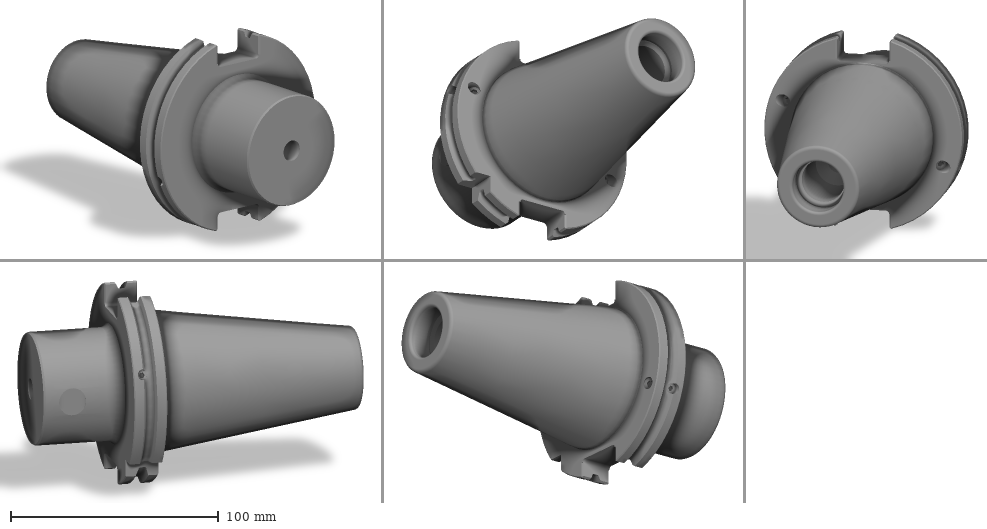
import cadquery as cq
import math

TAPER_LENGTH = 101.7
GAUGE_RADIUS = 69.85 / 2
TAPER_SLOPE = 7 / 48
SMALL_END_RADIUS = GAUGE_RADIUS - TAPER_SLOPE * TAPER_LENGTH
SMALL_END_ROUND = 1.8
NECK_ROUND = 0.4

FLANGE_RADIUS = 97.5 / 2
FLANGE_BACK = 2.8
FLANGE_FRONT = 19.1
FLANGE_WIDTH = FLANGE_FRONT - FLANGE_BACK
FLANGE_CHAMFER = 0.5
GROOVE_RADIUS = 45.5
GROOVE_BACK = 7.8
GROOVE_FRONT = 14.1
GROOVE_FLOOR_BACK = 9.0
GROOVE_FLOOR_FRONT = 12.3
GROOVE_FILLET = 0.8

NOSE_RADIUS = 55 / 2
NOSE_END = 59.0
NOSE_ROUND_RADIUS = 5.0
NOSE_ROUND_LENGTH = 3.9
NOSE_CHAMFER_LENGTH = 1.0
NOSE_CHAMFER_DEPTH = 0.5

PILOT_RADIUS = 12.6
PILOT_MOUTH_ROUND = 1.4
PILOT_DEPTH = 10.0
RELIEF_WIDTH = 1.8
RELIEF_DEPTH = 0.4
COUNTERSINK_HALF_ANGLE = 60.0
THREAD_BORE_RADIUS = 10.55
THREAD_BORE_DEPTH = 45.0
COOLANT_BORE_RADIUS = 5.1
DRILL_HALF_ANGLE = 59.0

KEYWAY_WIDTH = 25.7
KEYWAY_TOP_FLOOR = 35.3
KEYWAY_BOTTOM_FLOOR = 37.7
KEYWAY_FILLET = 1.6
KEYWAY_CHAMFER = 1.0
KEYWAY_FACE_CHAMFER = 0.5
KEYWAY_RIM_DROP = 0.7
NOTCH_OFFSET = 30.0

PASSAGE_ANGLE = 20.0
PASSAGE_TURNS = (0, 180)
FACE_HOLE_PITCH_RADIUS = 42.0
FACE_HOLE_DIAMETER = 6.0
FACE_HOLE_TILT = 35.0
FACE_HOLE_DEPTH = 9.0
FACE_PLUG_RECESS = 3.0
FACE_SOCKET_WIDTH = 3.0
RIM_HOLE_X = 14.2
RIM_HOLE_DIAMETER = 5.2
RIM_HOLE_DEPTH = 7.0
RIM_PLUG_RECESS = 3.3
RIM_SOCKET_WIDTH = 2.5
SOCKET_DEPTH = 1.5

CLAMP_X = 44.7
CLAMP_DIAMETER = 13.4
CLAMP_HOLE_FLOOR = 12.5
CLAMP_HOLE_TOP = NOSE_RADIUS + 1.0
CLAMP_SCREW_TOP = NOSE_RADIUS - 0.4


def revolve_about_x(profile):
    return profile.close().revolve(360, (0, 0, 0), (1, 0, 0))


def make_blank():
    """Solid of revolution: taper, flange and nose, before any cuts."""
    root_rise = NOSE_ROUND_RADIUS - math.sqrt(NOSE_ROUND_RADIUS**2 - NOSE_ROUND_LENGTH**2)
    nose_root_radius = NOSE_RADIUS + root_rise
    round_start = FLANGE_FRONT + NOSE_ROUND_LENGTH
    profile = (
        cq.Workplane("XY")
        .moveTo(-TAPER_LENGTH, 0)
        .lineTo(-TAPER_LENGTH, SMALL_END_RADIUS)
        .lineTo(0, GAUGE_RADIUS)
        .lineTo(FLANGE_BACK - NECK_ROUND, GAUGE_RADIUS)
        .radiusArc((FLANGE_BACK, GAUGE_RADIUS + NECK_ROUND), -NECK_ROUND)
        .lineTo(FLANGE_BACK, FLANGE_RADIUS - FLANGE_CHAMFER)
        .lineTo(FLANGE_BACK + FLANGE_CHAMFER, FLANGE_RADIUS)
        .lineTo(FLANGE_FRONT - FLANGE_CHAMFER, FLANGE_RADIUS)
        .lineTo(FLANGE_FRONT, FLANGE_RADIUS - FLANGE_CHAMFER)
        .lineTo(FLANGE_FRONT, nose_root_radius)
        .radiusArc((round_start, NOSE_RADIUS), -NOSE_ROUND_RADIUS)
        .lineTo(NOSE_END - NOSE_CHAMFER_LENGTH, NOSE_RADIUS)
        .lineTo(NOSE_END, NOSE_RADIUS - NOSE_CHAMFER_DEPTH)
        .lineTo(NOSE_END, 0)
    )
    return revolve_about_x(profile).faces("<X").edges().fillet(SMALL_END_ROUND)


def make_gripper_groove():
    profile = (
        cq.Workplane("XY")
        .moveTo(GROOVE_BACK, FLANGE_RADIUS)
        .lineTo(GROOVE_FLOOR_BACK, GROOVE_RADIUS)
        .lineTo(GROOVE_FLOOR_FRONT, GROOVE_RADIUS)
        .lineTo(GROOVE_FRONT, FLANGE_RADIUS)
    )
    groove = revolve_about_x(profile)
    floor_edges = groove.edges(cq.selectors.RadiusNthSelector(0))
    return floor_edges.fillet(GROOVE_FILLET)


def make_bore():
    mouth = -TAPER_LENGTH
    relief_start = mouth + PILOT_DEPTH
    relief_end = relief_start + RELIEF_WIDTH
    cone_start = mouth + THREAD_BORE_DEPTH
    countersink = (PILOT_RADIUS - THREAD_BORE_RADIUS) / math.tan(math.radians(COUNTERSINK_HALF_ANGLE))
    cone_length = (THREAD_BORE_RADIUS - COOLANT_BORE_RADIUS) / math.tan(math.radians(DRILL_HALF_ANGLE))
    profile = (
        cq.Workplane("XY")
        .moveTo(mouth, 0)
        .lineTo(mouth, PILOT_RADIUS + PILOT_MOUTH_ROUND)
        .radiusArc((mouth + PILOT_MOUTH_ROUND, PILOT_RADIUS), -PILOT_MOUTH_ROUND)
        .lineTo(relief_start, PILOT_RADIUS)
        .lineTo(relief_start, PILOT_RADIUS + RELIEF_DEPTH)
        .lineTo(relief_end, PILOT_RADIUS + RELIEF_DEPTH)
        .lineTo(relief_end, PILOT_RADIUS)
        .lineTo(relief_end + countersink, THREAD_BORE_RADIUS)
        .lineTo(cone_start, THREAD_BORE_RADIUS)
        .lineTo(cone_start + cone_length, COOLANT_BORE_RADIUS)
        .lineTo(NOSE_END, COOLANT_BORE_RADIUS)
        .lineTo(NOSE_END, 0)
    )
    return revolve_about_x(profile)


def make_keyway(floor, side):
    """Slot across the flange; side is +1 for the top slot and -1 for the bottom one."""
    half = KEYWAY_WIDTH / 2
    flared_half = half + KEYWAY_CHAMFER
    height = FLANGE_RADIUS - floor
    slot = (
        cq.Workplane("XY", origin=(FLANGE_BACK, 0, floor))
        .box(FLANGE_WIDTH, KEYWAY_WIDTH, height, centered=(False, True, False))
        .edges("|X and <Z")
        .fillet(KEYWAY_FILLET)
    )
    face_flare = (
        cq.Workplane("XY", origin=(0, 0, floor + KEYWAY_FILLET))
        .moveTo(FLANGE_BACK, 0)
        .lineTo(FLANGE_BACK, flared_half)
        .lineTo(FLANGE_BACK + KEYWAY_FACE_CHAMFER, half)
        .lineTo(FLANGE_FRONT - KEYWAY_FACE_CHAMFER, half)
        .lineTo(FLANGE_FRONT, flared_half)
        .lineTo(FLANGE_FRONT, 0)
        .mirrorX()
        .extrude(height)
    )
    rim_height = math.sqrt(FLANGE_RADIUS**2 - flared_half**2)
    rim_flare = (
        cq.Workplane("YZ", origin=(FLANGE_BACK, 0, 0))
        .moveTo(0, rim_height - KEYWAY_RIM_DROP)
        .lineTo(half, rim_height - KEYWAY_RIM_DROP)
        .lineTo(flared_half, rim_height)
        .lineTo(flared_half, FLANGE_RADIUS)
        .lineTo(0, FLANGE_RADIUS)
        .mirrorY()
        .extrude(FLANGE_WIDTH)
    )
    keyway = slot.union(face_flare).union(rim_flare)
    return keyway if side > 0 else keyway.rotate((0, 0, 0), (1, 0, 0), 180)


def make_notch():
    return (
        cq.Workplane("XY")
        .box(FLANGE_WIDTH, FLANGE_RADIUS, FLANGE_RADIUS, centered=False)
        .translate((FLANGE_BACK, NOTCH_OFFSET, -NOTCH_OFFSET - FLANGE_RADIUS))
    )


def cut_plane(point, direction):
    """Plane at a point in the XY plane, facing along a direction in the XY plane."""
    return cq.Plane(origin=point, xDir=(0, 0, 1), normal=direction)


def turn_passage(shape, turn):
    return shape.rotate((0, 0, 0), (1, 0, 0), PASSAGE_ANGLE + turn)


def face_plane():
    tilt = math.radians(FACE_HOLE_TILT)
    return cut_plane((FLANGE_BACK, FACE_HOLE_PITCH_RADIUS, 0), (math.cos(tilt), -math.sin(tilt), 0))


def rim_plane():
    return cut_plane((RIM_HOLE_X, FLANGE_RADIUS, 0), (0, -1, 0))


def make_passage_hole(plane, diameter, depth):
    """Blind hole along the plane normal, run out past the sloping or round surface."""
    lead_in = diameter
    return cq.Workplane(plane).workplane(offset=-lead_in).circle(diameter / 2).extrude(lead_in + depth)


def make_plug(plane, diameter, recess, depth, socket_width):
    """Set screw filling the inner end of a passage hole, with a hexagon socket."""
    outer_end = cq.Workplane(plane).workplane(offset=recess)
    body = outer_end.circle(diameter / 2).extrude(depth - recess)
    socket = outer_end.polygon(6, socket_width, circumscribed=True).extrude(SOCKET_DEPTH)
    return body.cut(socket)


def make_face_plug(turn):
    plug = make_plug(face_plane(), FACE_HOLE_DIAMETER, FACE_PLUG_RECESS, FACE_HOLE_DEPTH, FACE_SOCKET_WIDTH)
    return turn_passage(plug, turn)


def make_rim_plug(turn):
    plug = make_plug(rim_plane(), RIM_HOLE_DIAMETER, RIM_PLUG_RECESS, RIM_HOLE_DEPTH, RIM_SOCKET_WIDTH)
    return turn_passage(plug, turn)


def make_clamp_cylinder(top):
    plane = cut_plane((CLAMP_X, CLAMP_HOLE_FLOOR, 0), (0, 1, 0))
    return cq.Workplane(plane).circle(CLAMP_DIAMETER / 2).extrude(top - CLAMP_HOLE_FLOOR)


def make_housing():
    body = make_blank().cut(make_gripper_groove()).cut(make_bore())
    body = body.cut(make_keyway(KEYWAY_TOP_FLOOR, 1)).cut(make_keyway(KEYWAY_BOTTOM_FLOOR, -1))
    body = body.cut(make_notch()).cut(make_clamp_cylinder(CLAMP_HOLE_TOP))
    face_hole = make_passage_hole(face_plane(), FACE_HOLE_DIAMETER, FACE_HOLE_DEPTH)
    rim_hole = make_passage_hole(rim_plane(), RIM_HOLE_DIAMETER, RIM_HOLE_DEPTH)
    for turn in PASSAGE_TURNS:
        body = body.cut(turn_passage(face_hole, turn)).cut(turn_passage(rim_hole, turn))
    return body


housing = make_housing().solids()
face_plugs = [make_face_plug(turn).val() for turn in PASSAGE_TURNS]
rim_plugs = [make_rim_plug(turn).val() for turn in PASSAGE_TURNS]
clamp_screw = make_clamp_cylinder(CLAMP_SCREW_TOP)

result = cq.Compound.makeCompound([housing.val(), *face_plugs, *rim_plugs, clamp_screw.val()])